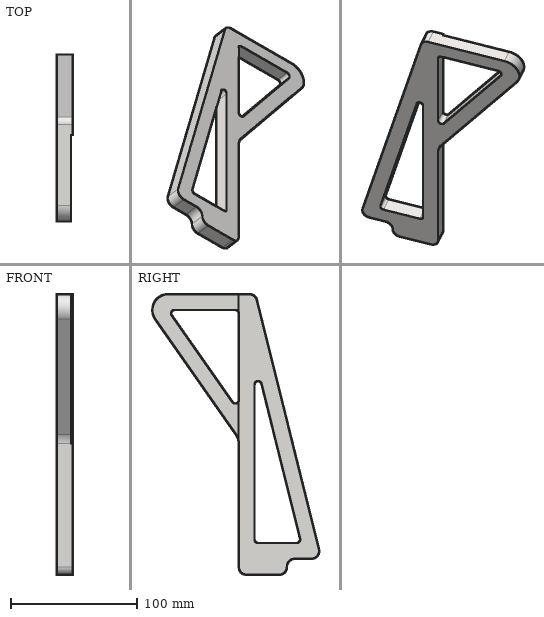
import cadquery as cq
import math

height = 222.2
wall = 12.7
arm_thickness = 11.3
tip_y = -68.5
heel_y = 63.8
foot_back_y = 38.2
arm_angle = 35.0
back_angle = 14.0
corner_radius = 6.2
foot_inner_radius = 6.2
window_radius = 2.7
tip_radius = wall
arm_root_radius = wall

arm_slope = math.tan(math.radians(arm_angle))
arm_cos = math.cos(math.radians(arm_angle))
back_slope = math.tan(math.radians(back_angle))
back_cos = math.cos(math.radians(back_angle))

heel_z = wall
window_top_z = height - wall
window_floor_z = heel_z + wall
window_tip_y = tip_y + tip_radius
heel_center_y = heel_y - corner_radius
heel_center_z = heel_z + corner_radius


def arm_y(z, offset):
    """Y of a line parallel to the arm, offset outward from its inner edge."""
    return window_tip_y + (window_top_z - z) * arm_slope - offset / arm_cos


def arm_z(y, offset):
    """Height at which the line described by arm_y reaches y."""
    return window_top_z + (window_tip_y - y - offset / arm_cos) / arm_slope


def back_y(z, inset):
    """Y of a line parallel to the back edge, inset into the plate."""
    return heel_center_y + (corner_radius - inset) / back_cos - (z - heel_center_z) * back_slope


def back_z(y, inset):
    """Height at which the line described by back_y reaches y."""
    return heel_center_z + (back_y(heel_center_z, inset) - y) / back_slope


def rounded_prism(corners):
    """Extrude a polygon of (y, z, radius) corners along +X and round its corners."""
    body = cq.Workplane("YZ").polyline([(y, z) for y, z, _ in corners]).close().extrude(wall)
    for y, z, radius in corners:
        corner_edge = cq.selectors.NearestToPointSelector((wall / 2, y, z))
        body = body.edges("|X").edges(corner_edge).fillet(radius)
    return body


plate = rounded_prism([
    (0, 0, corner_radius),
    (0, arm_z(0, wall), arm_root_radius),
    (arm_y(height, wall), height, tip_radius),
    (back_y(height, 0), height, corner_radius),
    (back_y(heel_z, 0), heel_z, corner_radius),
    (foot_back_y, heel_z, foot_inner_radius),
    (foot_back_y, 0, corner_radius),
])

arm_window = rounded_prism([
    (0, arm_z(0, 0), window_radius),
    (window_tip_y, window_top_z, window_radius),
    (0, window_top_z, window_radius),
])

back_window = rounded_prism([
    (wall, window_floor_z, window_radius),
    (wall, back_z(wall, wall), window_radius),
    (back_y(window_floor_z, wall), window_floor_z, window_radius),
])

arm_relief = cq.Workplane("XY").box(wall, -2 * tip_y, height, centered=False).translate(
    (arm_thickness, 2 * tip_y, 0)
)

result = plate.cut(arm_window).cut(back_window).cut(arm_relief)